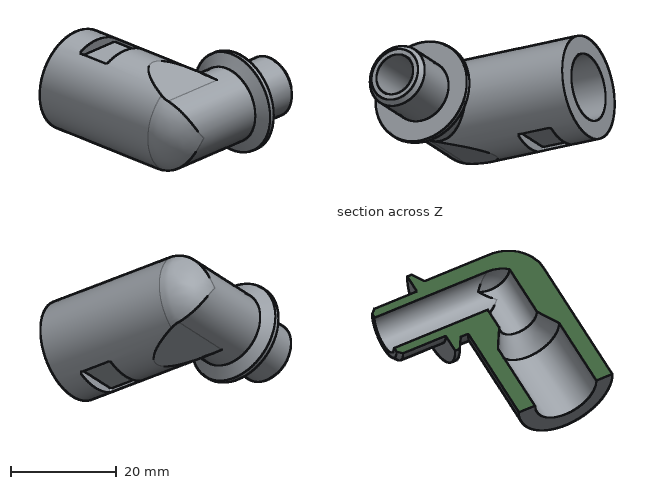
import cadquery as cq
import math

overall_length = 38.5
barrel_radius = 20.0 / 2
bore_radius = 13.0 / 2

branch_radius = 15.0 / 2
branch_bore_radius = 8.0 / 2
stub_radius = 12.0 / 2
flange_radius = barrel_radius
branch_x = overall_length - flange_radius
flange_cone_start = 11.55
flange_rim_start = 13.0
flange_face = 14.0
stub_end = 34.0 - barrel_radius
stub_chamfer = 0.92

cheek_angle = math.radians(15)
tangent_x = branch_x + branch_radius * math.sin(cheek_angle)
tangent_z = branch_radius * math.cos(cheek_angle)

pocket_start = 5.5
pocket_end = 12.7
pocket_floor = 8.0
pocket_width = 9.55
pocket_corner_radius = 0.4

wide_bore_depth = 15.4
cone_half_angle = math.radians(30)
narrow_bore_radius = branch_bore_radius
dome_radius = bore_radius
dome_tip = branch_x + branch_bore_radius


def barrel_blank():
    """Barrel cylinder whose end is rounded on the -Y half and square on the +Y half."""
    tip_x = branch_x + branch_radius
    tip_radius = barrel_radius - branch_radius
    diagonal = branch_radius * math.sqrt(0.5)
    cylinder = cq.Workplane("YZ").circle(barrel_radius).extrude(branch_x)
    rounded_end = (
        cq.Workplane("XZ")
        .moveTo(branch_x, 0)
        .lineTo(branch_x, barrel_radius)
        .threePointArc((branch_x + diagonal, tip_radius + diagonal), (tip_x, tip_radius))
        .lineTo(tip_x, 0)
        .close()
        .revolve(180, (0, 0, 0), (1, 0, 0))
    )
    square_end = (
        cq.Workplane("YZ", origin=(branch_x, 0, 0))
        .moveTo(0, -barrel_radius)
        .threePointArc((barrel_radius, 0), (0, barrel_radius))
        .close()
        .extrude(tangent_x - branch_x)
    )
    return cylinder.union(rounded_end).union(square_end)


def elbow_envelope():
    """Side outline: straight barrel, tapered cheeks and a round nose."""
    cheek_x = tangent_x - (barrel_radius - tangent_z) / math.tan(cheek_angle)
    return (
        cq.Workplane("XZ")
        .moveTo(0, -barrel_radius)
        .lineTo(cheek_x, -barrel_radius)
        .lineTo(tangent_x, -tangent_z)
        .threePointArc((branch_x + branch_radius, 0), (tangent_x, tangent_z))
        .lineTo(cheek_x, barrel_radius)
        .lineTo(0, barrel_radius)
        .close()
        .extrude(barrel_radius, both=True)
    )


def branch():
    """Turned branch: neck, conical flange and stub."""
    profile = [
        (0, 0),
        (branch_radius, 0),
        (branch_radius, flange_cone_start),
        (flange_radius, flange_rim_start),
        (flange_radius, flange_face),
        (stub_radius, flange_face),
        (stub_radius, stub_end - stub_chamfer),
        (stub_radius - stub_chamfer, stub_end),
        (0, stub_end),
    ]
    turned = cq.Workplane("XY").polyline(profile).close().revolve(360, (0, 0, 0), (0, 1, 0))
    return turned.translate((branch_x, 0, 0))


def wrench_pocket(side):
    """Cutter for a flat pocket; side is +1 for the top and -1 for the bottom."""
    length = pocket_end - pocket_start
    height = barrel_radius - pocket_floor
    cutter = (
        cq.Workplane("XY")
        .box(length, pocket_width, height, centered=(False, True, False))
        .edges("|Z")
        .fillet(pocket_corner_radius)
        .translate((pocket_start, 0, pocket_floor))
    )
    return cutter if side > 0 else cutter.mirror("XY")


def barrel_bore():
    """Cutter for the stepped blind bore with its domed end."""
    cone_end = wide_bore_depth + (bore_radius - narrow_bore_radius) / math.tan(cone_half_angle)
    dome_center = dome_tip - dome_radius
    dome_half_angle = math.asin(narrow_bore_radius / dome_radius)
    dome_edge_x = dome_center + dome_radius * math.cos(dome_half_angle)
    dome_middle = (
        dome_center + dome_radius * math.cos(dome_half_angle / 2),
        dome_radius * math.sin(dome_half_angle / 2),
    )
    return (
        cq.Workplane("XY")
        .lineTo(0, bore_radius)
        .lineTo(wide_bore_depth, bore_radius)
        .lineTo(cone_end, narrow_bore_radius)
        .lineTo(dome_edge_x, narrow_bore_radius)
        .threePointArc(dome_middle, (dome_tip, 0))
        .close()
        .revolve(360, (0, 0, 0), (1, 0, 0))
    )


def branch_bore():
    """Cutter for the bore from the elbow centre out through the stub."""
    return (
        cq.Workplane("XZ", origin=(branch_x, 0, 0))
        .circle(branch_bore_radius)
        .extrude(-stub_end)
    )


barrel = barrel_blank().intersect(elbow_envelope())
result = barrel.union(branch())
for pocket_side in (1, -1):
    result = result.cut(wrench_pocket(pocket_side))
result = result.cut(barrel_bore()).cut(branch_bore())